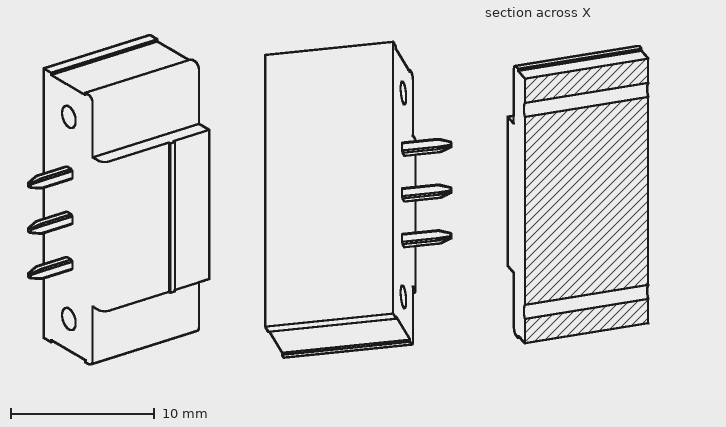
import cadquery as cq

housing_height = 20.8
housing_depth = 9.2
flange_width = 5.8
flange_corner_radius = 0.5

recess_start = 0.9
recess_end = 4.9
recess_depth = 0.17

block_width = 7.0
block_height = 11.52
block_front_radius = 0.55
rib_projection = 0.19
rib_thickness = 0.4
rib_center_y = 5.89

pin_line_x = 3.0
mounting_hole_diameter = 1.6
mounting_hole_spacing = 15.6

pin_count = 3
pin_pitch = 3.5
pin_size = 0.8
pin_edge_chamfer = 0.12
pin_length = 3.41
pin_tip_length = 0.81
pin_tip_size = 0.31
pin_tip_edge_chamfer = pin_edge_chamfer * pin_tip_size / pin_size


def make_housing():
    """Flange plate with rounded +X corners, standing on y = 0 and centred on z = 0."""
    plate = cq.Workplane("XY").box(
        flange_width, housing_depth, housing_height, centered=(False, False, True)
    )
    plate = plate.edges("|Y and >X").fillet(flange_corner_radius)
    recess_width = recess_end - recess_start
    for side in (1, -1):
        recess = cq.Workplane("XY").box(
            recess_width, housing_depth, 2 * recess_depth, centered=(False, False, True)
        )
        plate = plate.cut(recess.translate((recess_start, 0, side * housing_height / 2)))
    return plate


def make_block():
    """Raised block with a rounded front edge and a rib along its +X face."""
    block = cq.Workplane("XY").box(
        block_width, housing_depth, block_height, centered=(False, False, True)
    )
    block = block.edges("|Z and >X and <Y").fillet(block_front_radius)
    rib = cq.Workplane("XY").box(
        block_width + rib_projection, rib_thickness, block_height, centered=(False, True, True)
    )
    return block.union(rib.translate((0, rib_center_y, 0)))


def chamfered_square(size, chamfer):
    """Sketch of a square with its four corners cut off."""
    return cq.Sketch().rect(size, size).vertices().chamfer(chamfer)


def make_pin(z):
    """Square pin standing out of the front face at height z, with a tapered tip."""
    shank_length = pin_length - pin_tip_length
    shank_section = chamfered_square(pin_size, pin_edge_chamfer)
    tip_section = chamfered_square(pin_tip_size, pin_tip_edge_chamfer)
    front = cq.Workplane("XZ", origin=(pin_line_x, 0, z))
    shank = front.placeSketch(shank_section).extrude(shank_length)
    tip = (
        front.workplane(offset=shank_length)
        .placeSketch(shank_section, tip_section.moved(cq.Location(cq.Vector(0, 0, pin_tip_length))))
        .loft()
    )
    return shank.union(tip)


def make_mounting_holes():
    """Two cylinders that run through the full depth of the housing."""
    half_spacing = mounting_hole_spacing / 2
    return (
        cq.Workplane("XZ")
        .pushPoints([(pin_line_x, half_spacing), (pin_line_x, -half_spacing)])
        .circle(mounting_hole_diameter / 2)
        .extrude(-housing_depth)
    )


result = make_housing().union(make_block()).cut(make_mounting_holes())
for index in range(pin_count):
    pin_z = (index - (pin_count - 1) / 2) * pin_pitch
    result = result.union(make_pin(pin_z))